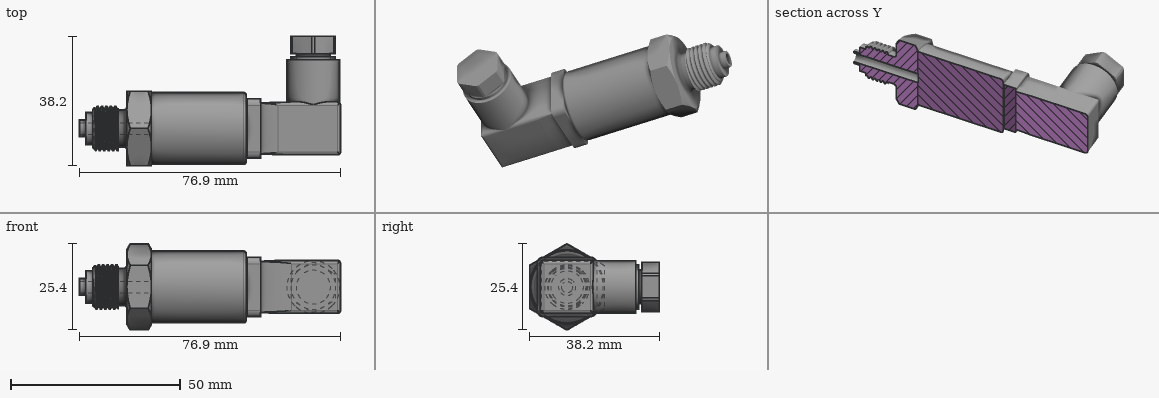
import cadquery as cq
import math


COLLAR_START = 1.9
THREAD_START = 3.9
THREAD_END = 11.4
HEX_START = 14.0
HEX_END = 21.2
SLEEVE_END = 49.1
FLANGE_START = 49.4
FLANGE_END = 53.4
PLUG_END = 76.9

TIP_DIAMETER = 5.0
BORE_DIAMETER = 3.3
COLLAR_DIAMETER = 9.5
NECK_DIAMETER = 11.0
NECK_FILLET = 0.9
HEX_ACROSS_CORNERS = 25.4
HEX_ACROSS_FLATS = HEX_ACROSS_CORNERS * math.cos(math.pi / 6)
HEX_CHAMFER_ANGLE = math.radians(30)

THREAD_DIAMETER = 13.15
THREAD_ROOT_DIAMETER = 11.45
THREAD_PITCH = 1.3
THREAD_FLANK_ANGLE = math.radians(27.5)
THREAD_CREST_WIDTH = 0.2
THREAD_ROOT_OVERLAP = 0.115
THREAD_CLEARANCE = 0.8
THREAD_LEAD_IN = 1.0
THREAD_CREST_ABOVE_AXIS = 7.0

SLEEVE_DIAMETER = 21.2
SLEEVE_FILLET = 0.9

FLANGE_WIDTH = 17.5
FLANGE_CORNER_RADIUS = 1.9

PLUG_WIDTH = 15.6
PLUG_BASE_WIDTH = 15.15
PLUG_EDGE_RADIUS = 1.0
SIDE_TAPER_END = 62.4
TOP_TAPER_END = 58.4

GLAND_X = 68.8
SOCKET_END = 20.3
SOCKET_DIAMETER = 15.5
RING_END = 21.15
NUT_START = 22.1
NUT_END = 27.2
RING_DIAMETER = 13.15
SHANK_DIAMETER = 10.0
NUT_ACROSS_FLATS = 13.1
NUT_CORNER_DIAMETER = 14.6


def axial_cylinder(diameter, start, end):
    """Cylinder on the main axis between two X stations."""
    return cq.Workplane("YZ", origin=(start, 0, 0)).circle(diameter / 2).extrude(end - start)


def gland_cylinder(diameter, start, end):
    """Cylinder on the gland axis between two Y stations."""
    return cq.Workplane("XZ", origin=(GLAND_X, start, 0)).circle(diameter / 2).extrude(start - end)


def make_thread_ridge():
    """Helical ridge that runs past both ends of the thread."""
    turns_before = math.ceil((THREAD_CREST_ABOVE_AXIS - THREAD_START) / THREAD_PITCH) + 1
    turns_after = math.ceil((THREAD_END - THREAD_CREST_ABOVE_AXIS) / THREAD_PITCH) + 1
    helix_start = THREAD_CREST_ABOVE_AXIS - turns_before * THREAD_PITCH
    helix_length = (turns_before + turns_after) * THREAD_PITCH

    crest_radius = THREAD_DIAMETER / 2
    base_radius = THREAD_ROOT_DIAMETER / 2 - THREAD_ROOT_OVERLAP
    half_crest = THREAD_CREST_WIDTH / 2
    half_base = half_crest + (crest_radius - base_radius) * math.tan(THREAD_FLANK_ANGLE)

    helix = cq.Workplane("XY").add(cq.Wire.makeHelix(THREAD_PITCH, helix_length, base_radius))
    return (
        cq.Workplane("XZ")
        .polyline([
            (base_radius, -half_base),
            (crest_radius, -half_crest),
            (crest_radius, half_crest),
            (base_radius, half_base),
        ])
        .close()
        .sweep(helix, isFrenet=True)
        .rotate((0, 0, 0), (0, 0, 1), 180)
        .rotate((0, 0, 0), (0, 1, 0), 90)
        .translate((helix_start, 0, 0))
    )


def make_thread():
    """Threaded length: core and ridge, trimmed to length with a 45 degree lead-in."""
    ridge = make_thread_ridge()
    ridge_box = ridge.val().BoundingBox()
    core = axial_cylinder(
        THREAD_ROOT_DIAMETER,
        ridge_box.xmin - THREAD_PITCH,
        ridge_box.xmax + THREAD_PITCH,
    )
    envelope_radius = THREAD_DIAMETER / 2 + THREAD_CLEARANCE
    lead_in_radius = THREAD_DIAMETER / 2 - THREAD_LEAD_IN
    envelope = (
        cq.Workplane("XY")
        .polyline([
            (THREAD_START, 0),
            (THREAD_START, lead_in_radius),
            (THREAD_START + envelope_radius - lead_in_radius, envelope_radius),
            (THREAD_END, envelope_radius),
            (THREAD_END, 0),
        ])
        .close()
        .revolve(360, (0, 0, 0), (1, 0, 0))
    )
    return core.union(ridge, clean=False).intersect(envelope, clean=False)


def make_hexagon():
    """Hexagon with corners on +Z and -Z and both end faces chamfered to the width across flats."""
    half_corners = HEX_ACROSS_CORNERS / 2
    half_flats = HEX_ACROSS_FLATS / 2
    chamfer_length = (half_corners - half_flats) * math.tan(HEX_CHAMFER_ANGLE)
    prism = (
        cq.Workplane("YZ", origin=(HEX_START, 0, 0))
        .polygon(6, HEX_ACROSS_CORNERS)
        .extrude(HEX_END - HEX_START)
        .rotate((0, 0, 0), (1, 0, 0), 90)
    )
    envelope = (
        cq.Workplane("XY")
        .polyline([
            (HEX_START, 0),
            (HEX_START, half_flats),
            (HEX_START + chamfer_length, half_corners),
            (HEX_END - chamfer_length, half_corners),
            (HEX_END, half_flats),
            (HEX_END, 0),
        ])
        .close()
        .revolve(360, (0, 0, 0), (1, 0, 0))
    )
    return prism.intersect(envelope)


def make_neck():
    """Relief between thread and hexagon, flaring to the hexagon with a concave fillet."""
    radius = NECK_DIAMETER / 2
    fillet_start = HEX_START - NECK_FILLET
    fillet_middle = (
        fillet_start + NECK_FILLET * math.sin(math.pi / 4),
        radius + NECK_FILLET * (1 - math.cos(math.pi / 4)),
    )
    return (
        cq.Workplane("XY")
        .moveTo(THREAD_END, 0)
        .lineTo(THREAD_END, radius)
        .lineTo(fillet_start, radius)
        .threePointArc(fillet_middle, (HEX_START, radius + NECK_FILLET))
        .lineTo(HEX_START, 0)
        .close()
        .revolve(360, (0, 0, 0), (1, 0, 0))
    )


def make_fitting():
    """Process fitting with a pressure bore along its whole length."""
    front = (
        axial_cylinder(COLLAR_DIAMETER, COLLAR_START, THREAD_START)
        .union(axial_cylinder(TIP_DIAMETER, 0, COLLAR_START))
    )
    rear = make_hexagon().union(make_neck())
    bore = axial_cylinder(BORE_DIAMETER, 0, HEX_END)
    return (
        make_thread()
        .union(front, clean=False)
        .union(rear, clean=False)
        .cut(bore, clean=False)
    )


def make_sleeve():
    """Round sensor sleeve with a rounded rear edge."""
    sleeve = axial_cylinder(SLEEVE_DIAMETER, HEX_END, SLEEVE_END)
    return sleeve.faces(">X").edges().fillet(SLEEVE_FILLET)


def make_flange():
    """Square flange with rounded corners."""
    return (
        cq.Workplane("YZ", origin=(FLANGE_START, 0, 0))
        .rect(FLANGE_WIDTH, FLANGE_WIDTH)
        .extrude(FLANGE_END - FLANGE_START)
        .edges("|X")
        .fillet(FLANGE_CORNER_RADIUS)
    )


def plug_profile(plane, taper_end):
    """Lengthwise outline of the plug block, extruded across its width.

    Two faces taper towards the flange, and the two edges at the free end are rounded.
    """
    half_width = PLUG_WIDTH / 2
    half_base = PLUG_BASE_WIDTH / 2
    return (
        cq.Workplane(plane)
        .polyline([
            (FLANGE_END, -half_base),
            (taper_end, -half_width),
            (PLUG_END, -half_width),
            (PLUG_END, half_width),
            (taper_end, half_width),
            (FLANGE_END, half_base),
        ])
        .close()
        .extrude(half_width, both=True)
        .faces(">X")
        .edges("|Z" if plane == "XY" else "|Y")
        .fillet(PLUG_EDGE_RADIUS)
    )


def make_plug():
    """Plug block, whose roundings meet in mitres, with the gland socket on its +Y side."""
    cross_section = (
        cq.Workplane("YZ", origin=(FLANGE_END, 0, 0))
        .rect(PLUG_WIDTH, PLUG_WIDTH)
        .extrude(PLUG_END - FLANGE_END)
        .edges("|X")
        .fillet(PLUG_EDGE_RADIUS)
    )
    block = (
        cross_section
        .intersect(plug_profile("XY", SIDE_TAPER_END))
        .intersect(plug_profile("XZ", TOP_TAPER_END))
    )
    return block.union(gland_cylinder(SOCKET_DIAMETER, 0, SOCKET_END))


def make_seal_ring():
    """Ring between the gland socket and the nut, with the nut shank passing through it."""
    ring = gland_cylinder(RING_DIAMETER, SOCKET_END, RING_END)
    return ring.cut(gland_cylinder(SHANK_DIAMETER, SOCKET_END, RING_END))


def make_gland_nut():
    """Hexagonal nut with flats on +X and -X, turned corners and a round shank."""
    across_corners = NUT_ACROSS_FLATS / math.cos(math.pi / 6)
    hexagon = (
        cq.Workplane("XZ", origin=(GLAND_X, NUT_START, 0))
        .polygon(6, across_corners)
        .extrude(NUT_START - NUT_END)
        .rotate((GLAND_X, 0, 0), (GLAND_X, 1, 0), 90)
    )
    head = hexagon.intersect(gland_cylinder(NUT_CORNER_DIAMETER, NUT_START, NUT_END))
    return head.union(gland_cylinder(SHANK_DIAMETER, SOCKET_END, NUT_START))


fitting = make_fitting()
sleeve = make_sleeve()
flange = make_flange()
plug = make_plug()
seal_ring = make_seal_ring()
gland_nut = make_gland_nut()

result = cq.Compound.makeCompound([
    fitting.solids().val(),
    sleeve.solids().val(),
    flange.solids().val(),
    plug.solids().val(),
    seal_ring.solids().val(),
    gland_nut.solids().val(),
])